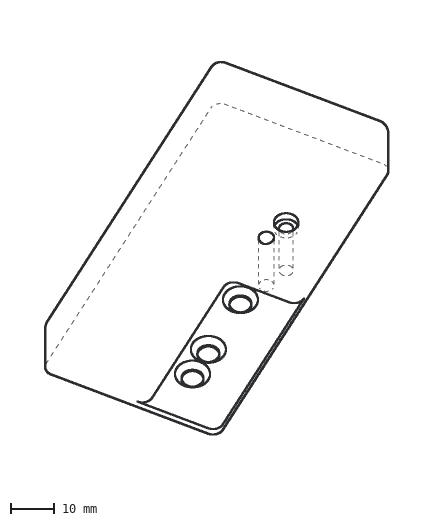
import cadquery as cq

width = 45.0
length = 90.0
height = 17.0

plate_width = 18.0
plate_length = 41.9
plate_thickness = 2.0
wall_x = width - plate_width

corner_radius = 2.5
top_radius = 3.2

mount_x = 32.1
mount_y_positions = (13.0, 21.15, 37.7)
mount_diameter = 5.0
countersink_diameter = 8.0
countersink_angle = 90.0

screw_x = 36.9
screw_y = 51.7
screw_diameter = 3.2
screw_head_diameter = 5.6
screw_head_depth = 2.2
pin_x = 34.8
pin_y = 45.6
pin_diameter = 3.5


def make_plate():
    """Rounded base covering the full footprint."""
    plate = cq.Workplane("XY").box(width, length, plate_thickness, centered=False)
    return plate.edges("|Z").fillet(corner_radius)


def make_housing():
    """L-shaped body with rounded corners and a rounded top rim."""
    outline = [
        (0, 0),
        (wall_x, 0),
        (wall_x, plate_length),
        (width, plate_length),
        (width, length),
        (0, length),
    ]
    body = cq.Workplane("XY").polyline(outline).close().extrude(height)
    body = body.edges("|Z").fillet(corner_radius)
    return body.faces(">Z").edges().fillet(top_radius)


def drill_mounting_holes(body):
    """Countersunk holes through the plate."""
    centers = [(mount_x, y) for y in mount_y_positions]
    return (
        body.copyWorkplane(cq.Workplane("XY", origin=(0, 0, plate_thickness)))
        .pushPoints(centers)
        .cskHole(mount_diameter, countersink_diameter, countersink_angle)
    )


def drill_top_holes(body):
    """Counterbored screw hole and plain pin hole through the housing."""
    top = cq.Workplane("XY", origin=(0, 0, height))
    body = body.copyWorkplane(top).center(screw_x, screw_y)
    body = body.cboreHole(screw_diameter, screw_head_diameter, screw_head_depth)
    return body.copyWorkplane(top).center(pin_x, pin_y).hole(pin_diameter)


result = make_plate().union(make_housing())
result = drill_mounting_holes(result)
result = drill_top_holes(result)